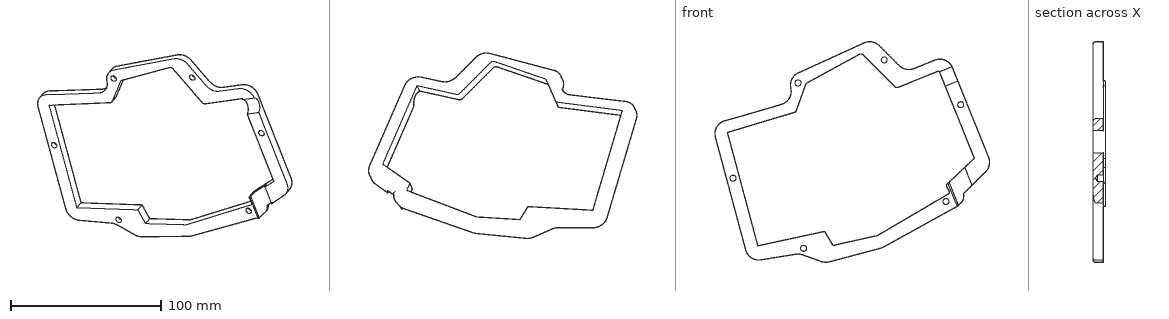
import cadquery as cq
import math

front_y = 0.0
plate_thickness = 7.0
pad_height = 1.5
back_y = front_y + plate_thickness
pad_y = front_y - pad_height

back_round = 2.0
bend_radius = 9.0
bump_radius = 6.0
window_radius = 2.0
notch_radius = 1.0

outer_corners = [
    (-69.09, -73.16, bend_radius),
    (-35.53, -67.78, bend_radius),
    (-18.17, -73.93, bend_radius),
    (19.74, -63.83, bend_radius),
    (70.10, -36.00, 0),
    (74.00, -32.10, bump_radius),
    (74.00, -27.60, 0),
    (92.83, -9.01, bend_radius),
    (63.09, 64.56, bend_radius),
    (35.24, 53.33, bend_radius),
    (13.33, 75.25, bend_radius),
    (-42.49, 49.79, bend_radius),
    (-39.71, 33.93, bend_radius),
    (-76.00, 23.35, 0),
    (-93.70, 18.43, bend_radius),
]

window_corners = [
    (-63.01, -62.39, 0),
    (-18.59, -52.76, 0),
    (-13.05, -62.14, 0),
    (16.58, -55.54, 0),
    (64.68, -27.29, notch_radius),
    (62.16, -22.06, notch_radius),
    (80.97, -4.21, 0),
    (57.48, 53.92, 0),
    (29.13, 42.42, window_radius),
    (5.84, 65.63, window_radius),
    (-30.92, 45.56, window_radius),
    (-37.74, 26.55, window_radius),
    (-83.20, 12.92, 0),
]

hole_diameter = 4.0
hole_end_y = 4.0
drill_point_angle = 118.0
holes = [
    (62.10, -32.98, front_y),
    (71.96, 31.44, pad_y),
    (-79.57, -17.47, front_y),
    (-32.62, -64.11, front_y),
    (-36.31, 45.90, front_y),
    (21.05, 61.25, front_y),
]

leg_lean = 22.0
channel_floor_y = 3.0
groove_radius = 5.5
groove_z = 22.9
ridge_x = 51.0
ridge_width = 1.0
trough_width = 13.4
trough_radius = 3.0

reach = 200.0


def rounded_outline(corners):
    """Closed outline in the XZ plane, with a tangent arc at every corner that has a radius."""
    points = [cq.Vector(x, z) for x, z, _ in corners]
    spans = []
    for i, (_, _, radius) in enumerate(corners):
        corner = points[i]
        before = (points[i - 1] - corner).normalized()
        after = (points[(i + 1) % len(points)] - corner).normalized()
        half_angle = before.getAngle(after) / 2
        tangent_length = radius / math.tan(half_angle)
        arc_gap = radius / math.sin(half_angle) - radius
        middle = corner + (before + after).normalized() * arc_gap
        arc = [corner + before * tangent_length, middle, corner + after * tangent_length]
        spans.append((radius, [(p.x, p.y) for p in arc]))

    outline = cq.Workplane("XZ").moveTo(*spans[0][1][2])
    for radius, (start, middle, end) in spans[1:] + spans[:1]:
        outline = outline.lineTo(*start)
        if radius:
            outline = outline.threePointArc(middle, end)
    return outline.close()


def slab(corners):
    """Solid with the given outline, from the pad face to the back face."""
    return rounded_outline(corners).extrude(pad_y - back_y).translate((0, pad_y, 0))


def leaned(solid):
    """Turn a solid built for an upright leg to the lean of the right leg."""
    return solid.rotate((0, 0, 0), (0, 1, 0), -leg_lean)


def make_frame():
    """Ring with its outer edge rounded at the back."""
    body = slab(outer_corners).faces(">Y").edges().fillet(back_round)
    return body.cut(slab(window_corners))


def make_front_clearance():
    """The layer in front of the plate, except where the pad stands."""
    layer = (
        cq.Workplane("XY")
        .box(2 * reach, pad_height, 2 * reach, centered=(True, False, True))
        .translate((0, pad_y, 0))
    )
    pad_zone = (
        cq.Workplane("XY")
        .box(reach, pad_height, reach, centered=False)
        .translate((ridge_x, pad_y, groove_z - reach))
    )
    return layer.cut(leaned(pad_zone))


def make_groove():
    """Round groove across the upper end of the right leg."""
    groove = (
        cq.Workplane("YZ")
        .center(channel_floor_y - groove_radius, groove_z)
        .circle(groove_radius)
        .extrude(reach)
    )
    return leaned(groove)


def make_trough():
    """Flat trough with rounded floor corners, beside the thin ridge at the edge of the pad."""
    trough = (
        cq.Workplane("XY")
        .box(trough_width, channel_floor_y - pad_y, reach, centered=False)
        .edges(">Y and |Z")
        .fillet(trough_radius)
        .translate((ridge_x + ridge_width, pad_y, -reach))
    )
    return leaned(trough)


def make_hole(x, z, mouth_y):
    radius = hole_diameter / 2
    point_length = radius / math.tan(math.radians(drill_point_angle / 2))
    return (
        cq.Workplane("XY")
        .moveTo(0, mouth_y)
        .lineTo(radius, mouth_y)
        .lineTo(radius, hole_end_y)
        .lineTo(0, hole_end_y + point_length)
        .close()
        .revolve(360, (0, 0), (0, 1))
        .translate((x, 0, z))
    )


result = make_frame().cut(make_front_clearance()).cut(make_groove()).cut(make_trough())
for x, z, mouth_y in holes:
    result = result.cut(make_hole(x, z, mouth_y))